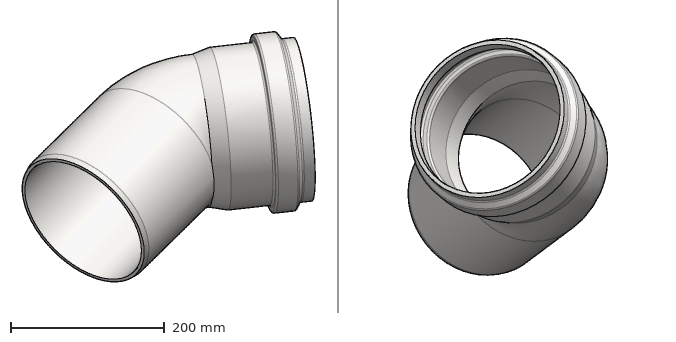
import cadquery as cq
import math

PIPE_OD = 200.5
PIPE_ID = 187.5
SPIGOT_LENGTH = 155.0
CHAMFER_LENGTH = 8.0
CHAMFER_DEPTH = 2.0

BEND_ANGLE = 45.0
BEND_RADIUS = 94.0

WALL = 6.0
SOCKET_OD = 213.2
MOUTH_OD = 214.5
RING_OD = 235.0
FLARE_LENGTH = 23.5
BORE_FLARE_LENGTH = 26.5
SOCKET_LENGTH = 134.0
RING_START = 81.0
RING_END = 109.8
RING_FOOT = 119.5
RING_FILLET = 2.7
GROOVE_START = RING_START + WALL
GROOVE_END = 107.5
GROOVE_FOOT = 115.5

EDGE_RADIUS = 3.0
EDGE_DROP = 1.5
EDGE_ADVANCE = 2.5
FOOT_ADVANCE = 2.7

PIPE_RADIUS = PIPE_OD / 2
BORE_RADIUS = PIPE_ID / 2
SOCKET_RADIUS = SOCKET_OD / 2
MOUTH_RADIUS = MOUTH_OD / 2
RING_RADIUS = RING_OD / 2


def revolve_about_y(profile):
    """Close a profile of radius and axial position and spin it about the Y axis."""
    return profile.close().revolve(360, (0, 0, 0), (0, 1, 0))


def place_on_bend_end(socket_body):
    """Move a body built along Y so that it continues from the end of the bend."""
    pivot = (BEND_RADIUS, 0, 0)
    pivot_top = (BEND_RADIUS, 0, 1)
    return socket_body.rotate(pivot, pivot_top, -BEND_ANGLE)


def make_bend(radius):
    """Turn the pipe section about the pivot, leaving out any part beyond the pivot axis."""
    pivot_height = math.sqrt(max(radius**2 - BEND_RADIUS**2, 0))
    section = cq.Workplane("XZ")
    if pivot_height > 0:
        section = (
            section.moveTo(BEND_RADIUS, -pivot_height)
            .threePointArc((-radius, 0), (BEND_RADIUS, pivot_height))
            .close()
        )
    else:
        section = section.circle(radius)
    return section.revolve(BEND_ANGLE, (BEND_RADIUS, 4, 0), (BEND_RADIUS, -4, 0))


def make_spigot():
    return revolve_about_y(
        cq.Workplane("XY")
        .moveTo(0, -SPIGOT_LENGTH)
        .lineTo(PIPE_RADIUS - CHAMFER_DEPTH, -SPIGOT_LENGTH)
        .lineTo(PIPE_RADIUS, CHAMFER_LENGTH - SPIGOT_LENGTH)
        .lineTo(PIPE_RADIUS, 0)
        .lineTo(0, 0)
    )


def make_spigot_bore():
    return cq.Workplane("XZ").circle(BORE_RADIUS).extrude(SPIGOT_LENGTH)


def make_socket():
    """Outside of the socket: flare, straight wall, seal ring housing and mouth."""
    return revolve_about_y(
        cq.Workplane("XY")
        .lineTo(PIPE_RADIUS, 0)
        .lineTo(SOCKET_RADIUS, FLARE_LENGTH)
        .lineTo(SOCKET_RADIUS, RING_START - RING_FILLET)
        .radiusArc((SOCKET_RADIUS + RING_FILLET, RING_START), RING_FILLET)
        .lineTo(RING_RADIUS - RING_FILLET, RING_START)
        .radiusArc((RING_RADIUS, RING_START + RING_FILLET), -RING_FILLET)
        .lineTo(RING_RADIUS, RING_END)
        .radiusArc((RING_RADIUS - EDGE_DROP, RING_END + EDGE_ADVANCE), -EDGE_RADIUS)
        .lineTo(MOUTH_RADIUS + EDGE_DROP, RING_FOOT - FOOT_ADVANCE)
        .radiusArc((MOUTH_RADIUS, RING_FOOT), EDGE_RADIUS)
        .lineTo(MOUTH_RADIUS, SOCKET_LENGTH)
        .lineTo(0, SOCKET_LENGTH)
    )


def make_socket_bore():
    """Inside of the socket, including the groove for the seal ring."""
    return revolve_about_y(
        cq.Workplane("XY")
        .lineTo(BORE_RADIUS, 0)
        .lineTo(SOCKET_RADIUS - WALL, BORE_FLARE_LENGTH)
        .lineTo(SOCKET_RADIUS - WALL, GROOVE_START - RING_FILLET)
        .radiusArc((SOCKET_RADIUS - WALL + RING_FILLET, GROOVE_START), RING_FILLET)
        .lineTo(RING_RADIUS - WALL - RING_FILLET, GROOVE_START)
        .radiusArc((RING_RADIUS - WALL, GROOVE_START + RING_FILLET), -RING_FILLET)
        .lineTo(RING_RADIUS - WALL, GROOVE_END)
        .radiusArc((RING_RADIUS - WALL - EDGE_DROP, GROOVE_END + EDGE_ADVANCE), -EDGE_RADIUS)
        .lineTo(MOUTH_RADIUS - WALL + EDGE_DROP, GROOVE_FOOT - FOOT_ADVANCE)
        .radiusArc((MOUTH_RADIUS - WALL, GROOVE_FOOT), EDGE_RADIUS)
        .lineTo(MOUTH_RADIUS - WALL, SOCKET_LENGTH)
        .lineTo(0, SOCKET_LENGTH)
    )


outside = make_spigot().union(make_bend(PIPE_RADIUS)).union(place_on_bend_end(make_socket()))
inside = make_spigot_bore().union(make_bend(BORE_RADIUS)).union(place_on_bend_end(make_socket_bore()))
result = outside.cut(inside)